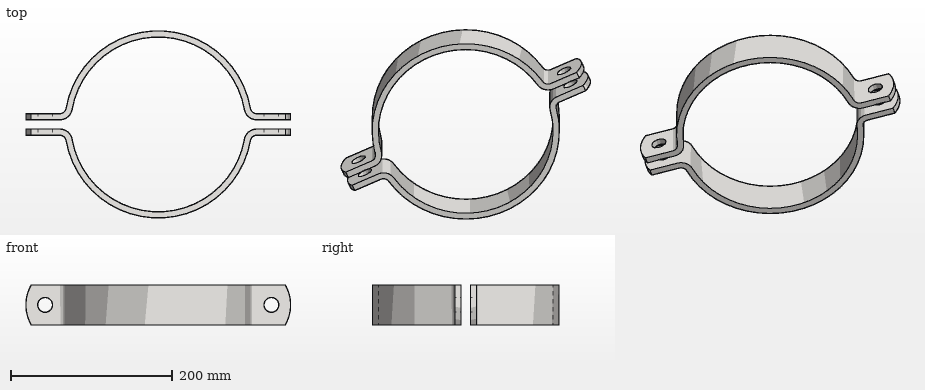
import cadquery as cq
import math

length = 328.0
ring_diameter = 232.0
thickness = 8.0
width = 50.0
gap = 11.0
bend_inner_radius = 8.0
tip_radius = width
hole_diameter = 18.0
hole_edge_distance = 24.0

half_length = length / 2
outer_radius = ring_diameter / 2
inner_radius = outer_radius - thickness
ear_inner_y = gap / 2
ear_outer_y = ear_inner_y + thickness
bend_outer_radius = bend_inner_radius + thickness
hole_x = half_length - hole_edge_distance

bend_y = ear_outer_y + bend_inner_radius
bend_x = math.sqrt((outer_radius + bend_inner_radius) ** 2 - bend_y ** 2)
ring_angle = math.atan2(bend_y, bend_x)
bend_mid_angle = (ring_angle + math.pi + 1.5 * math.pi) / 2


def ring_point(radius):
    """Point where a ring surface of this radius meets the bend on the +X side."""
    return radius * math.cos(ring_angle), radius * math.sin(ring_angle)


def bend_mid_point(radius):
    """Middle of a bend surface of this radius on the +X side."""
    return bend_x + radius * math.cos(bend_mid_angle), bend_y + radius * math.sin(bend_mid_angle)


def mirrored(point):
    """The same point on the -X side."""
    return -point[0], point[1]


def bent_strip():
    """Half ring with a bend and a square-ended ear on each side, on the +Y side."""
    outer_joint = ring_point(outer_radius)
    inner_joint = ring_point(inner_radius)
    outer_bend = bend_mid_point(bend_inner_radius)
    inner_bend = bend_mid_point(bend_outer_radius)
    return (
        cq.Workplane("XY")
        .moveTo(half_length, ear_inner_y)
        .lineTo(half_length, ear_outer_y)
        .lineTo(bend_x, ear_outer_y)
        .threePointArc(outer_bend, outer_joint)
        .threePointArc((0, outer_radius), mirrored(outer_joint))
        .threePointArc(mirrored(outer_bend), (-bend_x, ear_outer_y))
        .lineTo(-half_length, ear_outer_y)
        .lineTo(-half_length, ear_inner_y)
        .lineTo(-bend_x, ear_inner_y)
        .threePointArc(mirrored(inner_bend), mirrored(inner_joint))
        .threePointArc((0, inner_radius), inner_joint)
        .threePointArc(inner_bend, (bend_x, ear_inner_y))
        .close()
        .extrude(width / 2, both=True)
    )


def front_outline():
    """Block with rounded ends that trims the ear tips."""
    half_width = width / 2
    tip_depth = tip_radius - math.sqrt(tip_radius ** 2 - half_width ** 2)
    shoulder_x = half_length - tip_depth
    return (
        cq.Workplane("XZ")
        .moveTo(-shoulder_x, -half_width)
        .lineTo(shoulder_x, -half_width)
        .threePointArc((half_length, 0), (shoulder_x, half_width))
        .lineTo(-shoulder_x, half_width)
        .threePointArc((-half_length, 0), (-shoulder_x, -half_width))
        .close()
        .extrude(ring_diameter, both=True)
    )


def bolt_holes():
    """Cylinders along Y, one through each ear."""
    return (
        cq.Workplane("XZ")
        .pushPoints([(-hole_x, 0), (hole_x, 0)])
        .circle(hole_diameter / 2)
        .extrude(ring_diameter, both=True)
    )


def clamp_half(turn):
    """One clamp half, turned about Z by the given angle in degrees."""
    half = bent_strip().intersect(front_outline()).cut(bolt_holes())
    return half.rotate((0, 0, 0), (0, 0, 1), turn)


clamp_halves = [clamp_half(turn).val() for turn in (0, 180)]
result = cq.Compound.makeCompound(clamp_halves)